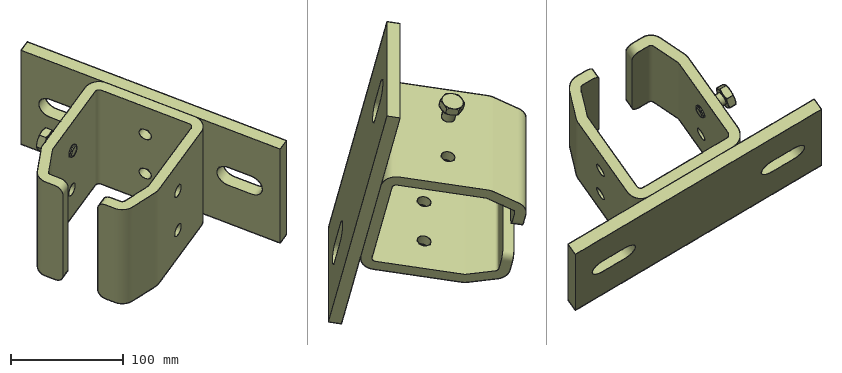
import cadquery as cq
import math


plate_length = 260.0
plate_thickness = 12.0
height = 120.0
slot_length = 45.5
slot_width = 22.5
slot_spacing = 178.5

total_depth = 145.0
channel_width = 116.5
wall = 10.1
bend_radius = 14.0
taper_angle = 20.8
knee_depth = 108.7
mouth_width = 34.8
lip_corner_radius = 8.0

hole_diameter = 12.2
hole_spacing = 50.0
side_hole_depth = 70.0

bolt_reach = 78.5
head_thickness = 7.8
head_across_flats = 19.2
head_turn = 2.5
head_chamfer_angle = 30.0
shank_length = 25.0
shank_chamfer = 1.0

channel_back = -plate_thickness
channel_front = -total_depth
hole_heights = [-hole_spacing / 2, hole_spacing / 2]


def make_plate():
    """Flat plate with two horizontal slots."""
    plate = cq.Workplane("XY").box(plate_length, plate_thickness, height)
    plate = plate.translate((0, -plate_thickness / 2, 0))
    slots = (
        cq.Workplane("XZ")
        .pushPoints([(-slot_spacing / 2, 0), (slot_spacing / 2, 0)])
        .slot2D(slot_length, slot_width)
        .extrude(plate_thickness)
    )
    return plate.cut(slots)


def wall_holes():
    """Cutters for the holes in both side walls and in the back wall."""
    side_points = [(-side_hole_depth, z) for z in hole_heights]
    side_holes = (
        cq.Workplane("YZ")
        .pushPoints(side_points)
        .circle(hole_diameter / 2)
        .extrude(channel_width / 2, both=True)
    )
    back_points = [(0, z) for z in hole_heights]
    back_holes = (
        cq.Workplane("XZ", origin=(0, channel_back, 0))
        .pushPoints(back_points)
        .circle(hole_diameter / 2)
        .extrude(wall)
    )
    return side_holes.union(back_holes)


def make_channel():
    """Bent channel: tapered towards a mouth between two rounded lips."""
    half_width = channel_width / 2
    taper_run = total_depth - knee_depth
    half_front = half_width - taper_run * math.tan(math.radians(taper_angle))
    outline = [
        (-half_width, channel_back),
        (half_width, channel_back),
        (half_width, -knee_depth),
        (half_front, channel_front),
        (-half_front, channel_front),
        (-half_width, -knee_depth),
    ]
    outer = (
        cq.Workplane("XY", origin=(0, 0, -height / 2))
        .polyline(outline)
        .close()
        .extrude(height)
        .edges("|Z")
        .fillet(bend_radius)
    )
    channel = outer.faces(">Z").wires().toPending().offset2D(-wall).cutThruAll()

    mouth = cq.Workplane("XY").box(mouth_width, 2 * wall, height).translate((0, channel_front + wall, 0))
    channel = channel.cut(mouth)

    mouth_region = cq.selectors.BoxSelector(
        (-mouth_width, channel_front - wall, -height),
        (mouth_width, channel_front + 2 * wall, height),
    )
    channel = channel.edges(mouth_region).edges("|Y").fillet(lip_corner_radius)
    return channel.cut(wall_holes())


def make_bolt():
    """Hexagon bolt along +X, its head standing clear of the channel wall."""
    across_corners = head_across_flats / math.cos(math.pi / 6)
    axis_start = (-bolt_reach, -side_hole_depth, hole_spacing / 2)
    head = (
        cq.Workplane("YZ")
        .polygon(6, across_corners)
        .extrude(head_thickness)
        .rotate((0, 0, 0), (1, 0, 0), -head_turn)
    )
    flat_radius = head_across_flats / 2
    half_thickness = head_thickness / 2
    cone_rise = half_thickness / math.tan(math.radians(head_chamfer_angle))
    double_cone = (
        cq.Workplane("XY")
        .moveTo(0, 0)
        .lineTo(0, flat_radius)
        .lineTo(half_thickness, flat_radius + cone_rise)
        .lineTo(head_thickness, flat_radius)
        .lineTo(head_thickness, 0)
        .close()
        .revolve(360, (0, 0, 0), (1, 0, 0))
    )
    shank = (
        cq.Workplane("YZ", origin=(head_thickness, 0, 0))
        .circle(hole_diameter / 2)
        .extrude(shank_length)
        .faces(">X")
        .chamfer(shank_chamfer)
    )
    return head.intersect(double_cone).union(shank).translate(axis_start)


plate = make_plate()
channel = make_channel()
bolt = make_bolt()

result = cq.Compound.makeCompound([plate.val(), channel.val(), bolt.val()])